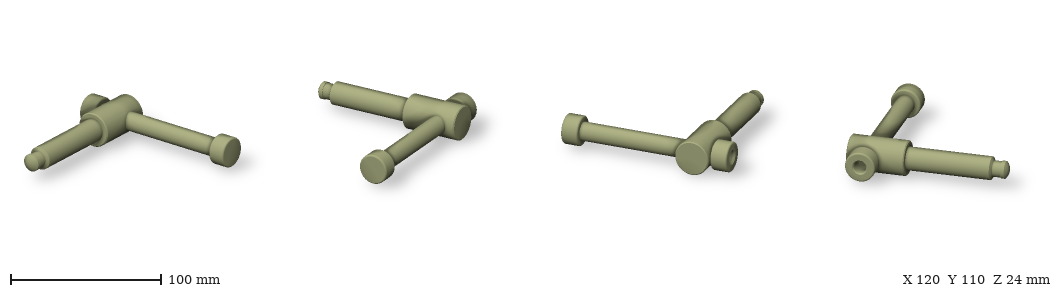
import cadquery as cq

overall_length = 120.0
overall_depth = 110.0

hub_diameter = 24.0
hub_length = 40.0
hub_chamfer = 0.7

bar_diameter = 13.0
bar_offset = 13.1
knob_diameter = 20.8
knob_length = 11.9
knob_edge_radius = 1.2
hub_axis_x = 24.0

hole_diameter = 8.6
hole_depth = knob_length
hole_chamfer = 0.8

pin_diameter = 16.0
neck_diameter = 11.0
tip_diameter = 12.0
shoulder_taper = 1.5
neck_length = 5.6
tip_band_length = 2.6
tip_dome_height = 2.4


def x_cylinder(diameter, start, length):
    """Cylinder on the bar axis, running toward +X from start."""
    return cq.Workplane("YZ", origin=(start, 0, 0)).circle(diameter / 2).extrude(length)


def make_hub():
    hub = cq.Workplane("XZ", origin=(hub_axis_x, bar_offset, 0)).circle(hub_diameter / 2).extrude(hub_length)
    return hub.edges().chamfer(hub_chamfer)


def make_pin():
    """Turned pin: shank, tapered shoulder, neck and domed tip, starting inside the hub."""
    tip_y = bar_offset - overall_depth
    dome_y = tip_y + tip_dome_height
    band_y = dome_y + tip_band_length
    neck_y = band_y + neck_length
    shoulder_y = neck_y + shoulder_taper
    pin_radius = pin_diameter / 2
    neck_radius = neck_diameter / 2
    tip_radius = tip_diameter / 2
    dome_radius = (tip_radius**2 + tip_dome_height**2) / (2 * tip_dome_height)
    profile = (
        cq.Workplane("XY", origin=(hub_axis_x, 0, 0))
        .moveTo(0, 0)
        .lineTo(pin_radius, 0)
        .lineTo(pin_radius, shoulder_y)
        .lineTo(neck_radius, neck_y)
        .lineTo(neck_radius, band_y)
        .lineTo(tip_radius, band_y)
        .lineTo(tip_radius, dome_y)
        .radiusArc((0, tip_y), dome_radius)
        .close()
    )
    return profile.revolve(360, (0, 0, 0), (0, 1, 0))


def make_knob(start):
    return x_cylinder(knob_diameter, start, knob_length).edges().fillet(knob_edge_radius)


def make_hole():
    """Blind hole with a chamfered mouth on the left end face."""
    hole_radius = hole_diameter / 2
    profile = (
        cq.Workplane("XY")
        .moveTo(0, 0)
        .lineTo(0, hole_radius + hole_chamfer)
        .lineTo(hole_chamfer, hole_radius)
        .lineTo(hole_depth, hole_radius)
        .lineTo(hole_depth, 0)
        .close()
    )
    return profile.revolve(360, (0, 0, 0), (1, 0, 0))


bar = x_cylinder(bar_diameter, knob_length / 2, overall_length - knob_length)
result = make_hub().union(make_pin()).union(bar)
for knob_start in (0, overall_length - knob_length):
    result = result.union(make_knob(knob_start))
result = result.cut(make_hole())